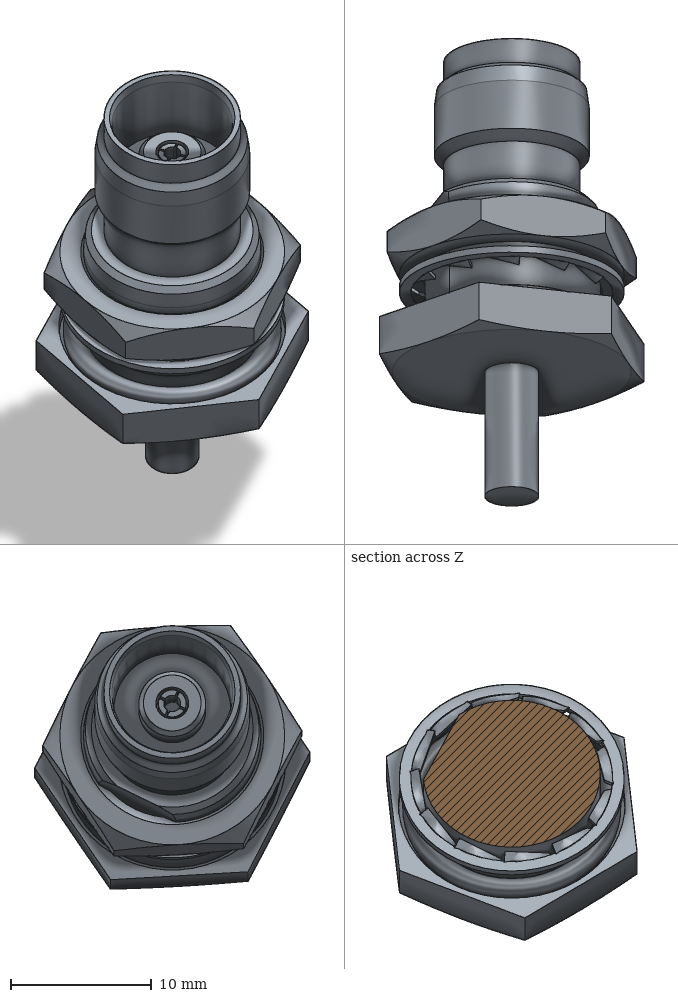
import cadquery as cq
import math


total_height = 33.05
flange_bottom_z = 9.45
flange_top_z = 12.65
thread_bottom_z = 13.7
thread_taper_z = 20.42
thread_chamfer_z = 21.6
thread_top_z = 22.05
head_bottom_z = 25.22
head_cylinder_bottom_z = 25.95
head_taper_z = 29.6
head_chamfer_z = 30.85
head_top_z = 31.23

tube_radius = 1.92
thread_radius = 6.3
thread_relief_radius = 6.28
thread_taper_radius = 6.18
thread_end_radius = 5.75
thread_flat_y = 5.52
neck_radius = 4.85
head_radius = 5.52
head_taper_radius = 5.35

flange_across_flats = 17.0
flange_chamfer_angle = 15.0

groove_radius = 8.05
groove_depth = 1.05
ring_section_radius = 0.75
ring_bite = 0.03
ring_protrusion = 0.35

mouth_radius = 4.45
mouth_depth = 0.55
bore_top_radius = 4.3
bore_bottom_radius = 4.15
bore_depth = 5.5

boss_top_depth = 3.3
boss_radius = 2.38
boss_top_radius = 2.05
boss_chamfer_height = 0.33
boss_hole_radius = 1.15
pin_top_depth = 3.45
pin_radius = 1.0
pin_hole_radius = 0.6
pin_slot_width = 0.15

corner_clearance = 0.15

nut_bottom_z = 16.92
nut_height = 3.0
nut_across_flats = 16.0
nut_chamfer_angle = 30.0
nut_bore_radius = 5.9
nut_mouth_radius = 6.5

washer_bottom_z = 15.55
washer_thickness = 0.5
washer_radius = 8.0
washer_ring_inner_radius = 7.17
tooth_count = 12
tooth_start_angle = 19.3
tooth_span_angle = 28.0
tooth_root_radius = 7.45
tooth_tip_radius = 6.6
tooth_thickness = 0.3
tooth_rise = 0.65


def disc(radius, bottom_z, top_z):
    return cq.Workplane("XY").workplane(offset=bottom_z).circle(radius).extrude(top_z - bottom_z)


def revolve_profile(points):
    """Solid of revolution about Z from (radius, z) points."""
    return cq.Workplane("XZ").polyline(points).close().revolve(360, (0, 0, 0), (0, 1, 0))


def hexagon(across_flats, bottom_z, height):
    """Hexagonal prism with corners on the Y axis and flats facing +X and -X."""
    corner_circle = across_flats / math.cos(math.pi / 6)
    prism = cq.Workplane("XY").polygon(6, corner_circle).extrude(height)
    return prism.rotate((0, 0, 0), (0, 0, 1), 30).translate((0, 0, bottom_z))


def corner_cone(across_flats, angle, bottom_z, height, chamfer_top):
    """Round envelope that chamfers hexagon corners, starting from the circle touching the flats."""
    flat_radius = across_flats / 2
    outer_radius = across_flats / math.sqrt(3) + corner_clearance
    drop = (outer_radius - flat_radius) * math.tan(math.radians(angle))
    top_z = bottom_z + height
    points = [(0, bottom_z), (flat_radius, bottom_z), (outer_radius, bottom_z + drop)]
    if chamfer_top:
        points += [(outer_radius, top_z - drop), (flat_radius, top_z)]
    else:
        points += [(outer_radius, top_z)]
    points += [(0, top_z)]
    return revolve_profile(points)


def make_threaded_barrel():
    """Threaded barrel, cut flat on its +Y side, reaching down into the flange."""
    barrel = revolve_profile([
        (0, flange_bottom_z),
        (thread_relief_radius, flange_bottom_z),
        (thread_relief_radius, thread_bottom_z),
        (thread_radius, thread_bottom_z),
        (thread_radius, thread_taper_z),
        (thread_taper_radius, thread_chamfer_z),
        (thread_end_radius, thread_top_z),
        (0, thread_top_z),
    ])
    size = 2 * thread_radius
    flat_cut = (
        cq.Workplane("XY")
        .box(size, size, total_height, centered=(True, False, False))
        .translate((0, thread_flat_y, 0))
    )
    return barrel.cut(flat_cut)


def make_head():
    """Neck and coupling head above the threaded barrel."""
    return revolve_profile([
        (0, flange_top_z),
        (neck_radius, flange_top_z),
        (neck_radius, head_bottom_z),
        (head_radius, head_cylinder_bottom_z),
        (head_radius, head_taper_z),
        (head_taper_radius, head_chamfer_z),
        (neck_radius, head_top_z),
        (neck_radius, total_height),
        (0, total_height),
    ])


def make_flange():
    """Hexagonal flange, chamfered below, with a round groove in its top for the sealing ring."""
    height = flange_top_z - flange_bottom_z
    flange = hexagon(flange_across_flats, flange_bottom_z, height)
    flange = flange.intersect(
        corner_cone(flange_across_flats, flange_chamfer_angle, flange_bottom_z, height, False)
    )
    return flange.cut(disc(groove_radius, flange_top_z - groove_depth, flange_top_z))


def make_sealing_ring():
    """Ring around the barrel foot, biting slightly into barrel and groove floor."""
    center_radius = thread_relief_radius + ring_section_radius - ring_bite
    center_z = flange_top_z + ring_protrusion - ring_section_radius
    return (
        cq.Workplane("XZ")
        .center(center_radius, center_z)
        .circle(ring_section_radius)
        .revolve(360, (-center_radius, 0, 0), (-center_radius, 1, 0))
    )


def make_socket():
    """Cavity of the head: a chamfered mouth over a slightly tapered bore."""
    floor_z = total_height - bore_depth
    return revolve_profile([
        (0, floor_z),
        (bore_bottom_radius, floor_z),
        (bore_top_radius, total_height - mouth_depth),
        (mouth_radius, total_height),
        (0, total_height),
    ])


def make_boss():
    """Hollow insulator boss on the socket floor."""
    floor_z = total_height - bore_depth
    top_z = total_height - boss_top_depth
    boss = revolve_profile([
        (0, floor_z),
        (boss_radius, floor_z),
        (boss_radius, top_z - boss_chamfer_height),
        (boss_top_radius, top_z),
        (0, top_z),
    ])
    return boss.cut(disc(boss_hole_radius, floor_z, top_z))


def make_pin():
    """Female contact pin, split by two crossing slots."""
    floor_z = total_height - bore_depth
    top_z = total_height - pin_top_depth
    pin = disc(pin_radius, floor_z, top_z).cut(disc(pin_hole_radius, floor_z, top_z))
    for angle in (0, 90):
        slot = (
            cq.Workplane("XY")
            .box(2 * pin_radius, pin_slot_width, top_z - floor_z, centered=(True, True, False))
            .rotate((0, 0, 0), (0, 0, 1), angle)
            .translate((0, 0, floor_z))
        )
        pin = pin.cut(slot)
    return pin


def make_body():
    tube = disc(tube_radius, 0, flange_top_z)
    body = make_flange().union(tube).union(make_threaded_barrel()).union(make_head())
    body = body.union(make_sealing_ring())
    return body.cut(make_socket()).union(make_boss()).union(make_pin())


def make_nut(body):
    """Chamfered hexagonal nut whose hole fits the flat-sided barrel."""
    top_z = nut_bottom_z + nut_height
    nut = hexagon(nut_across_flats, nut_bottom_z, nut_height)
    nut = nut.intersect(corner_cone(nut_across_flats, nut_chamfer_angle, nut_bottom_z, nut_height, True))
    countersink_depth = (nut_mouth_radius - nut_bore_radius) * math.tan(math.radians(nut_chamfer_angle))
    hole = revolve_profile([
        (0, nut_bottom_z),
        (nut_mouth_radius, nut_bottom_z),
        (nut_bore_radius, nut_bottom_z + countersink_depth),
        (nut_bore_radius, top_z - countersink_depth),
        (nut_mouth_radius, top_z),
        (0, top_z),
    ])
    return nut.cut(hole).cut(body)


def tooth_section(corner_radius, rise):
    """Four-cornered tooth section on a chord: its first end is lifted and its second end lowered."""
    half_span = math.radians(tooth_span_angle / 2)
    distance = corner_radius * math.cos(half_span)
    half_width = corner_radius * math.sin(half_span)
    corners = [
        cq.Vector(distance, -half_width, rise),
        cq.Vector(distance, half_width, tooth_thickness - rise),
        cq.Vector(distance, half_width, -rise),
        cq.Vector(distance, -half_width, rise - tooth_thickness),
    ]
    return cq.Wire.makePolygon(corners, close=True)


def make_tooth():
    """Twisted tooth pointing inwards, flat at its root and tilted at its tip."""
    root = tooth_section(tooth_root_radius, tooth_thickness / 2)
    tip = tooth_section(tooth_tip_radius, tooth_rise)
    return cq.Workplane(cq.Solid.makeLoft([root, tip], True))


def make_washer():
    """Flat ring with twisted teeth around its inside."""
    top_z = washer_bottom_z + washer_thickness
    washer = disc(washer_radius, washer_bottom_z, top_z)
    washer = washer.cut(disc(washer_ring_inner_radius, washer_bottom_z, top_z))
    tooth = make_tooth().translate((0, 0, washer_bottom_z + washer_thickness / 2))
    pitch_angle = 360 / tooth_count
    first_angle = tooth_start_angle + pitch_angle / 2
    for index in range(tooth_count):
        angle = first_angle + index * pitch_angle
        washer = washer.union(tooth.rotate((0, 0, 0), (0, 0, 1), angle))
    return washer


body = make_body()
nut = make_nut(body)
washer = make_washer()

result = cq.Compound.makeCompound([body.solids().val(), nut.solids().val(), washer.solids().val()])